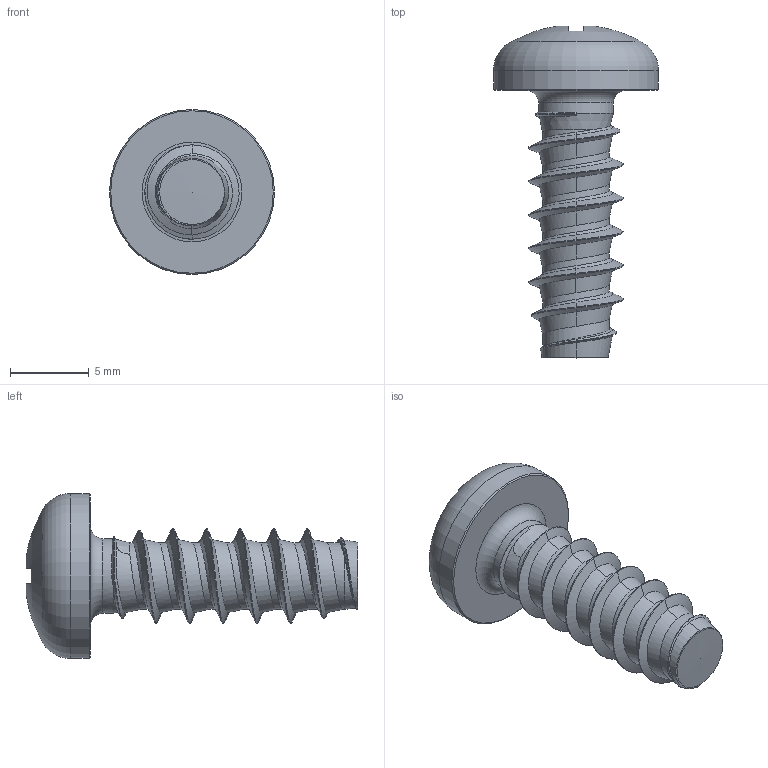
import cadquery as cq
import math


head_radius = 5.25
head_rim_height = 1.25
head_edge_chamfer = 0.08
head_apex = 4.18
head_corner_radius = 2.1

shank_length = 17.0
neck_radius = 2.375
neck_fillet = 0.8
neck_end = 1.45
core_radius = 2.125
core_taper_end = 2.5
tip_radius = 2.06
tip_taper_length = 0.8
tip_cone_height = 0.03

pitch = 2.14
crest_radius = 3.0
crest_half_width = 0.03
shoulder_radius = 2.33
knee_offset = 0.33
root_offset = 0.57
shoulder_offset = 0.28
ramp_length = 1.5
thread_foot_radius = 2.06
thread_base_radius = 1.6
shoulder_share = 0.6
points_per_turn = 24
turns_per_face = 0.5

helix_start = 1.51
run_in_start = -0.25
run_in_end = 1.0
run_in_radius = 2.5
run_out_start = 5.75
run_out_end = 7.25
run_out_radius = core_radius + 0.02

wing_width = 1.0
wing_radius = 2.6
recess_core_radius = 1.2
recess_bottom_radius = 0.8
recess_depth = 2.2


def revolve(profile):
    """Turn a closed half-profile (radius, Y) about the screw axis."""
    return profile.close().revolve(360, (0, 0, 0), (0, 1, 0))


corner_center_radius = head_radius - head_corner_radius
dome_rise = head_apex - head_rim_height
dome_radius = (dome_rise**2 + corner_center_radius**2 - head_corner_radius**2) / (
    2 * (dome_rise - head_corner_radius)
)
dome_center = head_apex - dome_radius


def dome_height(radius):
    return dome_center + math.sqrt(dome_radius**2 - radius**2)


def make_head():
    tangent_angle = math.atan2(head_rim_height - dome_center, corner_center_radius)
    corner_mid_angle = tangent_angle / 2
    tangent_point = (
        dome_radius * math.cos(tangent_angle),
        dome_center + dome_radius * math.sin(tangent_angle),
    )
    corner_mid = (
        corner_center_radius + head_corner_radius * math.cos(corner_mid_angle),
        head_rim_height + head_corner_radius * math.sin(corner_mid_angle),
    )
    dome_mid_radius = tangent_point[0] / 2
    profile = (
        cq.Workplane("XY")
        .lineTo(head_radius - head_edge_chamfer, 0)
        .lineTo(head_radius, head_edge_chamfer)
        .lineTo(head_radius, head_rim_height)
        .threePointArc(corner_mid, tangent_point)
        .threePointArc((dome_mid_radius, dome_height(dome_mid_radius)), (0, head_apex))
    )
    return revolve(profile)


def make_core():
    """Filleted neck, tapering to the thread core and a slightly conical tip."""
    fillet_reach = neck_fillet * (1 - math.sqrt(0.5))
    profile = (
        cq.Workplane("XY")
        .moveTo(0, head_rim_height)
        .lineTo(neck_radius + neck_fillet, head_rim_height)
        .lineTo(neck_radius + neck_fillet, 0)
        .threePointArc((neck_radius + fillet_reach, -fillet_reach), (neck_radius, -neck_fillet))
        .lineTo(neck_radius, -neck_end)
        .lineTo(core_radius, -core_taper_end)
        .lineTo(core_radius, tip_taper_length - shank_length)
        .lineTo(tip_radius, -shank_length)
        .lineTo(0, -shank_length - tip_cone_height)
    )
    return revolve(profile)


def crest_radius_at(turn):
    """Crest radius, fading linearly at both ends of the thread."""
    if turn < run_in_end:
        share = (turn - run_in_start) / (run_in_end - run_in_start)
        return run_in_radius + share * (crest_radius - run_in_radius)
    if turn > run_out_start:
        share = (turn - run_out_start) / (run_out_end - run_out_start)
        return crest_radius + share * (run_out_radius - crest_radius)
    return crest_radius


def thread_section(turn):
    """Corner points of the thread's radial section, from head side to tip side."""
    helix_y = -helix_start - pitch * turn
    crest_y = min(helix_y, -helix_start)
    crest = crest_radius_at(turn)
    height = crest - core_radius
    scale = height / (crest_radius - core_radius)
    shoulder = min(shoulder_radius, core_radius + shoulder_share * height)
    root_y = crest_y + root_offset * scale
    ramp_end_y = helix_y - ramp_length
    corners = [
        (thread_base_radius, root_y),
        (thread_foot_radius, root_y),
        (shoulder, crest_y + knee_offset * scale),
        (crest, crest_y + crest_half_width * scale),
        (crest, crest_y - crest_half_width * scale),
        (shoulder, crest_y - shoulder_offset * scale),
        (thread_foot_radius, ramp_end_y),
        (thread_base_radius, ramp_end_y),
    ]
    angle = math.pi + 2 * math.pi * turn
    return [cq.Vector(r * math.cos(angle), y, r * math.sin(angle)) for r, y in corners]


def make_thread():
    """Solid ridge bounded by ruled helical faces and a flat section at each end."""
    steps_per_face = round(turns_per_face * points_per_turn)
    step_count = round((run_out_end - run_in_start) * points_per_turn)
    sections = [thread_section(run_in_start + i / points_per_turn) for i in range(step_count + 1)]
    faces = []
    for first in range(0, step_count, steps_per_face):
        stretch = sections[first : first + steps_per_face + 1]
        rails = [cq.Edge.makeSpline(list(rail)) for rail in zip(*stretch)]
        faces += [cq.Face.makeRuledSurface(rails[i - 1], rails[i]) for i in range(len(rails))]
    for section in (sections[0], sections[-1]):
        outline = cq.Wire.makePolygon(section, close=True)
        faces.append(cq.Face.makeFromWires(outline))
    ridge = cq.Workplane(cq.Solid.makeSolid(cq.Shell.makeShell(faces)))
    keep = cq.Workplane("XZ").circle(2 * crest_radius).extrude(shank_length)
    return ridge.intersect(keep)


def make_recess():
    """Cross recess: four wings narrowing inward with depth around a tapered core."""
    floor_y = head_apex - recess_depth
    wing_edge_y = dome_height(wing_radius)
    wing_envelope = revolve(
        cq.Workplane("XY")
        .moveTo(0, floor_y)
        .lineTo(recess_bottom_radius, floor_y)
        .lineTo(wing_radius, wing_edge_y)
        .lineTo(wing_radius, head_apex)
        .lineTo(0, head_apex)
    )
    core = revolve(
        cq.Workplane("XY")
        .moveTo(0, floor_y)
        .lineTo(recess_bottom_radius, floor_y)
        .lineTo(recess_core_radius, head_apex)
        .lineTo(0, head_apex)
    )
    slot_length = 2 * head_radius
    slot_height = 2 * head_apex
    slot_x = cq.Workplane("XY").box(slot_length, slot_height, wing_width)
    slot_z = cq.Workplane("XY").box(wing_width, slot_height, slot_length)
    return wing_envelope.intersect(slot_x.union(slot_z)).union(core)


screw = make_head().union(make_core()).union(make_thread())
result = screw.cut(make_recess())